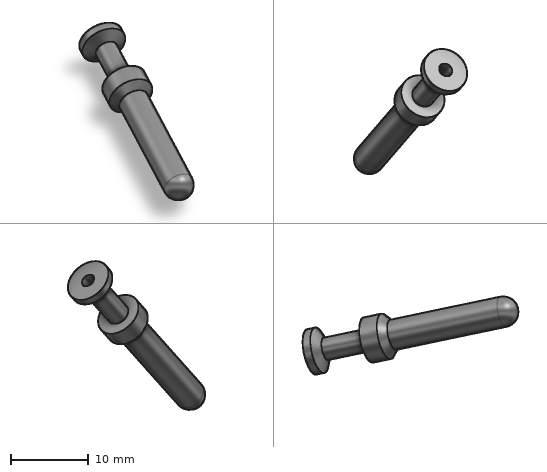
import cadquery as cq

length = 29.0
flange_diameter = 6.0
neck_diameter = 3.0
shaft_diameter = 4.0

head_rim_length = 1.1
head_length = 2.0

collar_start = 8.0
collar_rim_length = 2.5
collar_length = 3.5

hole_diameter = 1.8
hole_depth = collar_start

flange_radius = flange_diameter / 2
neck_radius = neck_diameter / 2
shaft_radius = shaft_diameter / 2
dome_start = length - shaft_radius
dome_mid_offset = shaft_radius * 0.5**0.5


def pin_body():
    """Revolve the half outline, ending in a hemispherical tip, about X."""
    outline = (
        cq.Workplane("XY")
        .lineTo(0, flange_radius)
        .lineTo(head_rim_length, flange_radius)
        .lineTo(head_length, neck_radius)
        .lineTo(collar_start, neck_radius)
        .lineTo(collar_start, flange_radius)
        .lineTo(collar_start + collar_rim_length, flange_radius)
        .lineTo(collar_start + collar_length, shaft_radius)
        .lineTo(dome_start, shaft_radius)
        .threePointArc((dome_start + dome_mid_offset, dome_mid_offset), (length, 0))
        .close()
    )
    return outline.revolve(360, (0, 0, 0), (1, 0, 0))


def head_hole():
    """Flat-bottomed hole along the pin axis."""
    return cq.Workplane("YZ").circle(hole_diameter / 2).extrude(hole_depth)


result = pin_body().cut(head_hole())